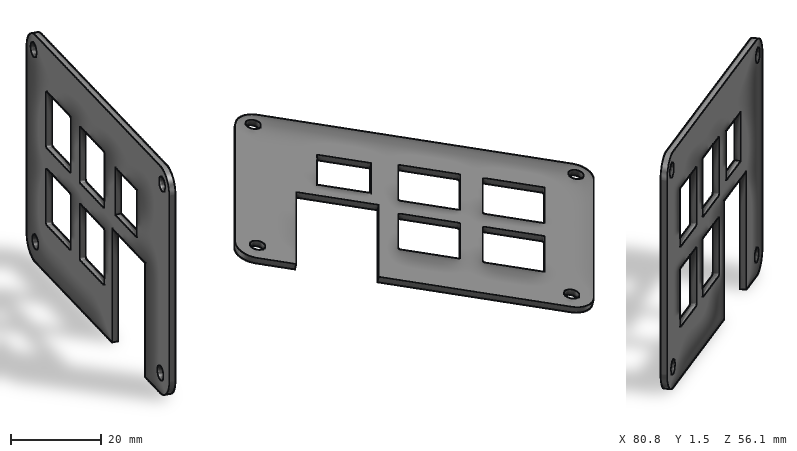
import cadquery as cq

width = 80.8
height = 56.15
thickness = 1.5
corner_radius = 5.0

hole_diameter = 3.5
upper_hole_inset = 4.0
lower_hole_inset = 5.0

key_size = 14.0
key_pitch = 19.1
key_corner_radius = 0.5
first_key_x = 18.0
first_key_z = 19.1

window_width = 12.2
window_height = 11.7
window_left = 50.2
window_bottom = 32.4

notch_width = 18.6
notch_height = 28.2
notch_left = 48.5


def block(left, bottom, block_width, block_height):
    """Box through the plate thickness, placed by its lower left corner."""
    box = cq.Workplane("XY").box(block_width, thickness, block_height, centered=False)
    return box.translate((left, 0, bottom))


def key_opening(center_x, center_z):
    """Square cutter with rounded corners, placed by its center."""
    left = center_x - key_size / 2
    bottom = center_z - key_size / 2
    return block(left, bottom, key_size, key_size).edges("|Y").fillet(key_corner_radius)


def mounting_hole(center_x, center_z):
    """Round cutter through the plate thickness."""
    hole = cq.Workplane("XZ").circle(hole_diameter / 2).extrude(-thickness)
    return hole.translate((center_x, 0, center_z))


plate = block(0, 0, width, height).edges("|Y").fillet(corner_radius)

for column in range(2):
    for row in range(2):
        key_x = first_key_x + column * key_pitch
        key_z = first_key_z + row * key_pitch
        plate = plate.cut(key_opening(key_x, key_z))

plate = plate.cut(block(window_left, window_bottom, window_width, window_height))
plate = plate.cut(block(notch_left, 0, notch_width, notch_height))

for inset, hole_z in (
    (upper_hole_inset, height - upper_hole_inset),
    (lower_hole_inset, lower_hole_inset),
):
    for hole_x in (inset, width - inset):
        plate = plate.cut(mounting_hole(hole_x, hole_z))

result = plate.translate((-width / 2, -thickness / 2, -height / 2))